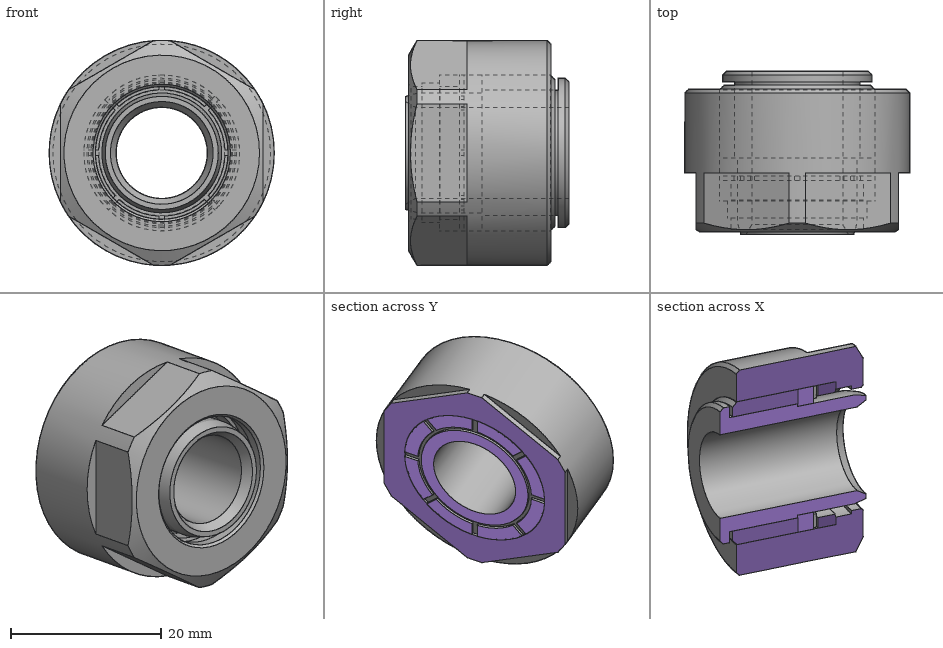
import cadquery as cq
import math


total_length = 21.78
bore_radius = 6.05
mouth_radius = 6.85
mouth_angle = 30.0
nose_radius = 7.53
nose_angle = 15.0
nose_rim_radius = 7.98
neck_radius = 8.37
flange_radius = 9.95
flange_thickness = 1.45
flange_chamfer = 0.5

nut_front = 0.4
nut_back = 19.38
nut_radius = 15.0
nut_back_chamfer = 0.5
hex_sides = 6
hex_across_flats = 27.0
hex_back = 8.22
hex_face_radius = 13.02
hex_chamfer_angle = 30.0
mouth_chamfer = 0.33
lip_radius = 8.82
lip_back = 2.2
nut_bore_radius = 10.38
cavity_radius = 9.3

backing_front = 4.5
backing_bore_radius = 8.85
backing_face_angle = 13.0

rim_front = 7.2
rim_radius = 8.43
slot_count = 8
slot_width = 0.72
slot_depth = 0.6
slotted_ring_length = 3.0

seal_back = 19.92
seal_chamfer = 0.63

flange_front = total_length - flange_thickness
rim_floor = rim_front + slot_depth
slotted_ring_back = rim_front + slotted_ring_length


def revolve_profile(points):
    """Solid of revolution about Y from (radius, y) points."""
    return cq.Workplane("XY").polyline(points).close().revolve(360, (0, 0, 0), (0, 1, 0))


def make_sleeve():
    mouth_depth = (mouth_radius - bore_radius) / math.tan(math.radians(mouth_angle))
    nose_length = (nose_rim_radius - nose_radius) / math.tan(math.radians(nose_angle))
    return revolve_profile([
        (bore_radius, mouth_depth),
        (mouth_radius, 0),
        (nose_radius, 0),
        (nose_rim_radius, nose_length),
        (nose_rim_radius, slotted_ring_back),
        (neck_radius, slotted_ring_back),
        (neck_radius, flange_front),
        (flange_radius, flange_front),
        (flange_radius, total_length - flange_chamfer),
        (flange_radius - flange_chamfer, total_length),
        (bore_radius, total_length),
    ])


def make_nut():
    hex_chamfer_length = (nut_radius - hex_face_radius) * math.tan(math.radians(hex_chamfer_angle))
    nut = revolve_profile([
        (lip_radius + mouth_chamfer, nut_front),
        (hex_face_radius, nut_front),
        (nut_radius, nut_front + hex_chamfer_length),
        (nut_radius, nut_back - nut_back_chamfer),
        (nut_radius - nut_back_chamfer, nut_back),
        (nut_bore_radius, nut_back),
        (nut_bore_radius, backing_front),
        (cavity_radius, backing_front),
        (cavity_radius, lip_back),
        (lip_radius, lip_back),
        (lip_radius, nut_front + mouth_chamfer),
    ])
    hex_across_corners = hex_across_flats / math.cos(math.pi / hex_sides)
    flats_cutter = (
        cq.Workplane("XZ")
        .circle(2 * nut_radius)
        .polygon(hex_sides, hex_across_corners)
        .extrude(-hex_back)
        .rotate((0, 0, 0), (0, 1, 0), 360 / (2 * hex_sides))
    )
    return nut.cut(flats_cutter)


def make_backing_ring():
    face_width = cavity_radius - backing_bore_radius
    dish_depth = face_width * math.tan(math.radians(backing_face_angle))
    return revolve_profile([
        (backing_bore_radius, backing_front + dish_depth),
        (cavity_radius, backing_front),
        (nut_bore_radius, backing_front),
        (nut_bore_radius, rim_front),
        (backing_bore_radius, rim_front),
    ])


def make_slotted_ring():
    ring = revolve_profile([
        (nose_rim_radius, rim_floor),
        (rim_radius, rim_floor),
        (rim_radius, rim_front),
        (nut_bore_radius, rim_front),
        (nut_bore_radius, slotted_ring_back),
        (nose_rim_radius, slotted_ring_back),
    ])
    for i in range(slot_count // 2):
        slot_pair = (
            cq.Workplane("XZ", origin=(0, rim_front, 0))
            .rect(2 * nut_radius, slot_width)
            .extrude(-slot_depth)
            .rotate((0, 0, 0), (0, 1, 0), i * 360 / slot_count)
        )
        ring = ring.cut(slot_pair)
    return ring


def make_seal_ring():
    return revolve_profile([
        (neck_radius, slotted_ring_back),
        (nut_bore_radius, slotted_ring_back),
        (nut_bore_radius, seal_back - seal_chamfer),
        (nut_bore_radius - seal_chamfer, seal_back),
        (neck_radius, seal_back),
    ])


sleeve = make_sleeve()
nut = make_nut()
backing_ring = make_backing_ring()
slotted_ring = make_slotted_ring()
seal_ring = make_seal_ring()

result = cq.Compound.makeCompound([
    sleeve.val(),
    nut.val(),
    backing_ring.val(),
    slotted_ring.val(),
    seal_ring.val(),
])